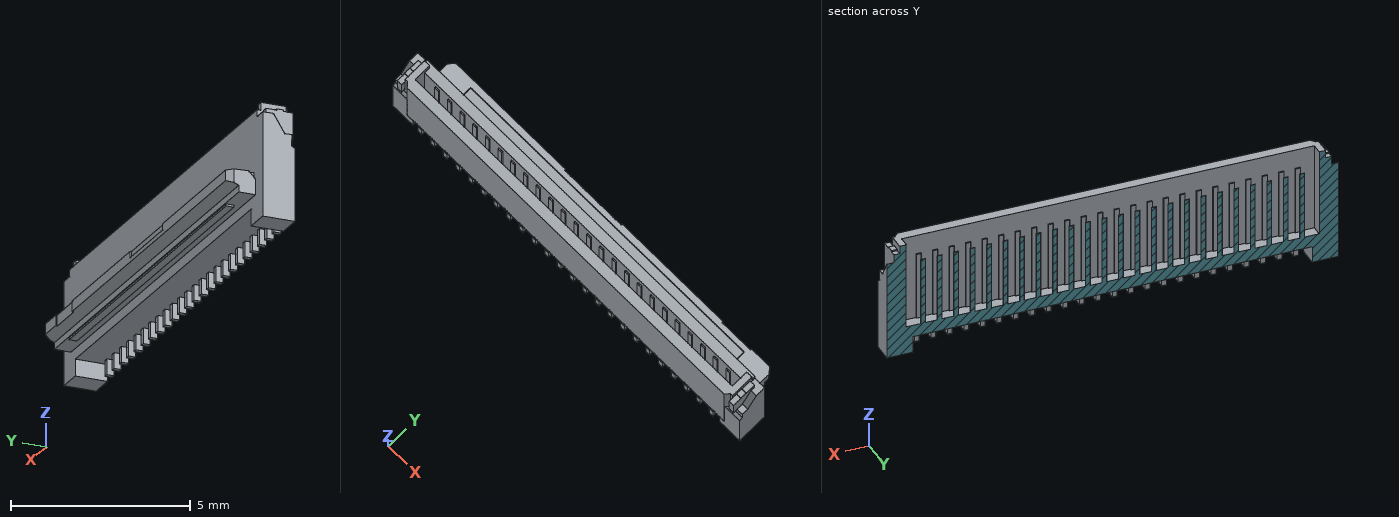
import cadquery as cq


TOTAL_LENGTH = 13.7
TOTAL_DEPTH = 1.87
TOTAL_HEIGHT = 3.6
HALF_LENGTH = TOTAL_LENGTH / 2

BODY_FRONT_Y = 0.03
BODY_BACK_Y = 1.02
BACK_WALL_TOP_Z = 3.36
BODY_BOTTOM_Z = 0.51
LEG_WIDTH = 0.8
UPPER_HALF_LENGTH = 6.465
UPPER_FRONT_Y = 0.135
PANEL_HALF_LENGTH = 6.26
PANEL_BOTTOM_Z = 0.66
CORNER_CHAMFER = 0.12
END_RIB_BACK_Y = 0.9

SLOT_FRONT_Y = 0.33
SLOT_BACK_Y = 0.70
SLOT_FLOOR_Z = 0.9

SHOULDER_TOP_Z = 3.15
SHOULDER_SLOPE_BACK_Y = 0.69
SHOULDER_SLOPE_FRONT_Y = 0.35
SHOULDER_LEDGE_Z = 2.60
FRONT_STEP_TOP_Z = 2.27
FRONT_STEP_BOTTOM_Z = 2.20

TAB_OUTER_X = 6.64
TAB_BACK_Y = 0.83
TAB_TOP_Z = 3.36
TAB_BOTTOM_Z = 2.56
TAB_BUMP_HEIGHT = 0.04
TAB_BUMP_FRONT_Y = 0.29
TAB_BUMP_BACK_Y = 0.50

CONTACT_COUNT = 24
CONTACT_PITCH = 0.5
CONTACT_WIDTH = 0.15
CONTACT_FOOT_BOTTOM_Z = 0.035
CONTACT_FOOT_TOP_Z = 0.54
CONTACT_FOOT_FRONT_Y = 0.0
CONTACT_FOOT_BACK_Y = 0.22
CONTACT_BEAM_PROUD = 0.04
CONTACT_BEAM_TOP_Z = 3.0

BAR_HALF_LENGTH = 6.35
BAR_TOP_Z = 1.53
BAR_TIP_TOP_Z = 1.49
BAR_TIP_BOTTOM_Z = 1.17
BAR_HEEL_Y = 1.53
BAR_HEEL_TOP_Z = 1.03
BAR_BOTTOM_Z = 0.83
BAR_CHAMFER_X = 0.15
BAR_CHAMFER_Y = 0.19
BAR_PAD_FRONT_Y = 1.26
BAR_PAD_BACK_Y = 1.50
BAR_PAD_DROP = 0.06
BAR_POCKET_HALF_LENGTH = 5.4
BAR_POCKET_FRONT_Y = 1.29
BAR_POCKET_BACK_Y = 1.66
BAR_POCKET_DEPTH = 0.1
BAR_POCKET_FRONT_TAPER = 0.04
BAR_GROOVE_HALF_LENGTH = 6.07
BAR_GROOVE_BACK_Y = 1.20
BAR_GROOVE_FLOOR_BACK_Y = 1.06
BAR_GROOVE_DEPTH = 0.09
BAR_END_NOTCH_WIDTH = 0.1
BAR_END_NOTCH_BACK_Y = 1.24
BAR_END_NOTCH_DEPTH = 0.22
BAR_RELIEF_LEFT_X = 4.36
BAR_RELIEF_RIGHT_X = 5.48
BAR_RELIEF_DEPTH = 0.04
BAR_WINDOW_LEFT_X = -1.86
BAR_WINDOW_RIGHT_X = 0.37
BAR_WINDOW_BOTTOM_Z = 1.30


def box(x_min, x_max, y_min, y_max, z_min, z_max):
    """Axis-aligned box between two opposite corners."""
    size = (x_max - x_min, y_max - y_min, z_max - z_min)
    return cq.Workplane("XY").box(*size, centered=False).translate((x_min, y_min, z_min))


def extrude_side_profile(points, x_min, x_max):
    """Extrude an outline of (y, z) points along X."""
    return cq.Workplane("YZ", origin=(x_min, 0, 0)).polyline(points).close().extrude(x_max - x_min)


def mirrored_pair(solid):
    """The solid joined with its mirror image at the opposite end of the connector."""
    return solid.union(solid.mirror("YZ"))


def make_upper_housing():
    outline = [
        (-UPPER_HALF_LENGTH, END_RIB_BACK_Y),
        (-UPPER_HALF_LENGTH, UPPER_FRONT_Y),
        (-PANEL_HALF_LENGTH - CORNER_CHAMFER, UPPER_FRONT_Y),
        (-PANEL_HALF_LENGTH, 0),
        (PANEL_HALF_LENGTH, 0),
        (PANEL_HALF_LENGTH + CORNER_CHAMFER, UPPER_FRONT_Y),
        (UPPER_HALF_LENGTH, UPPER_FRONT_Y),
        (UPPER_HALF_LENGTH, END_RIB_BACK_Y),
    ]
    upper = (
        cq.Workplane("XY", origin=(0, 0, FRONT_STEP_BOTTOM_Z))
        .polyline(outline).close().extrude(TOTAL_HEIGHT - FRONT_STEP_BOTTOM_Z)
    )
    back_wall = box(
        -UPPER_HALF_LENGTH, UPPER_HALF_LENGTH, SLOT_BACK_Y, BODY_BACK_Y, BODY_BOTTOM_Z, BACK_WALL_TOP_Z
    )
    above_back_wall = box(
        -PANEL_HALF_LENGTH, PANEL_HALF_LENGTH, SLOT_BACK_Y, BODY_BACK_Y, BACK_WALL_TOP_Z, TOTAL_HEIGHT
    )
    return upper.union(back_wall).cut(above_back_wall)


def make_lower_housing():
    core = box(
        -UPPER_HALF_LENGTH, UPPER_HALF_LENGTH, BODY_FRONT_Y, BODY_BACK_Y, BODY_BOTTOM_Z, FRONT_STEP_BOTTOM_Z
    )
    panel = box(
        -PANEL_HALF_LENGTH, PANEL_HALF_LENGTH, 0, SLOT_FRONT_Y, PANEL_BOTTOM_Z, FRONT_STEP_BOTTOM_Z
    )
    return core.union(panel)


def make_end_block():
    """Left leg with the sloped shoulder above it."""
    profile = [
        (BODY_FRONT_Y, BODY_BOTTOM_Z),
        (BODY_FRONT_Y, FRONT_STEP_BOTTOM_Z),
        (UPPER_FRONT_Y, FRONT_STEP_TOP_Z),
        (UPPER_FRONT_Y, SHOULDER_LEDGE_Z),
        (SHOULDER_SLOPE_FRONT_Y, SHOULDER_LEDGE_Z),
        (SHOULDER_SLOPE_BACK_Y, SHOULDER_TOP_Z),
        (BODY_BACK_Y, SHOULDER_TOP_Z),
        (BODY_BACK_Y, BODY_BOTTOM_Z),
    ]
    shoulder = extrude_side_profile(profile, -HALF_LENGTH, -PANEL_HALF_LENGTH)
    leg = box(
        -HALF_LENGTH, -HALF_LENGTH + LEG_WIDTH, BODY_FRONT_Y, BODY_BACK_Y, 0, PANEL_BOTTOM_Z
    )
    return shoulder.union(leg)


def make_side_tab():
    plate = box(-TAB_OUTER_X, -UPPER_HALF_LENGTH, 0, TAB_BACK_Y, TAB_BOTTOM_Z, TAB_TOP_Z)
    bump = box(
        -TAB_OUTER_X, -UPPER_HALF_LENGTH, TAB_BUMP_FRONT_Y, TAB_BUMP_BACK_Y,
        TAB_TOP_Z, TAB_TOP_Z + TAB_BUMP_HEIGHT,
    )
    return plate.union(bump)


def make_bar_body():
    """Locking bar with the pad under it; its top falls gently toward the tip."""
    profile = [
        (BODY_BACK_Y, BAR_BOTTOM_Z),
        (BODY_BACK_Y, BAR_TOP_Z),
        (TOTAL_DEPTH, BAR_TIP_TOP_Z),
        (TOTAL_DEPTH, BAR_TIP_BOTTOM_Z),
        (BAR_HEEL_Y, BAR_HEEL_TOP_Z),
        (BAR_HEEL_Y, BAR_BOTTOM_Z),
    ]
    bar = extrude_side_profile(profile, -BAR_HALF_LENGTH, BAR_HALF_LENGTH)
    pad = box(
        -BAR_POCKET_HALF_LENGTH, BAR_POCKET_HALF_LENGTH, BAR_PAD_FRONT_Y, BAR_PAD_BACK_Y,
        BAR_BOTTOM_Z - BAR_PAD_DROP, BAR_BOTTOM_Z,
    )
    return bar.union(pad)


def make_bar_pocket():
    """Long pocket in the top of the bar; its front wall leans outward."""
    floor_z = BAR_TOP_Z - BAR_POCKET_DEPTH
    profile = [
        (BAR_POCKET_FRONT_Y, BAR_TOP_Z),
        (BAR_POCKET_FRONT_Y + BAR_POCKET_FRONT_TAPER, floor_z),
        (BAR_POCKET_BACK_Y, floor_z),
        (BAR_POCKET_BACK_Y, BAR_TOP_Z),
    ]
    return extrude_side_profile(profile, -BAR_POCKET_HALF_LENGTH, BAR_POCKET_HALF_LENGTH)


def make_bar_groove():
    """Groove between the bar and the housing, sloping down toward the housing."""
    floor_z = BAR_TOP_Z - BAR_GROOVE_DEPTH
    profile = [
        (BODY_BACK_Y, BAR_TOP_Z),
        (BAR_GROOVE_BACK_Y, BAR_TOP_Z),
        (BAR_GROOVE_FLOOR_BACK_Y, floor_z),
        (BODY_BACK_Y, floor_z),
    ]
    return extrude_side_profile(profile, -BAR_GROOVE_HALF_LENGTH, BAR_GROOVE_HALF_LENGTH)


def make_bar_end_cuts():
    """Chamfered corner and small sloped notch at each end of the bar."""
    corner = (
        cq.Workplane("XY")
        .polyline([
            (-BAR_HALF_LENGTH, TOTAL_DEPTH),
            (-BAR_HALF_LENGTH + BAR_CHAMFER_X, TOTAL_DEPTH),
            (-BAR_HALF_LENGTH, TOTAL_DEPTH - BAR_CHAMFER_Y),
        ])
        .close().extrude(BAR_TOP_Z)
    )
    notch_profile = [
        (BODY_BACK_Y, BAR_TOP_Z),
        (BAR_END_NOTCH_BACK_Y, BAR_TOP_Z),
        (BODY_BACK_Y, BAR_TOP_Z - BAR_END_NOTCH_DEPTH),
    ]
    notch = extrude_side_profile(
        notch_profile, -BAR_HALF_LENGTH, -BAR_HALF_LENGTH + BAR_END_NOTCH_WIDTH
    )
    return mirrored_pair(corner.union(notch))


def make_bar_back_reliefs():
    """Two shallow recesses in the bar's back face, one full height and one open only at the top."""
    front_y = TOTAL_DEPTH - BAR_RELIEF_DEPTH
    relief = box(BAR_RELIEF_LEFT_X, BAR_RELIEF_RIGHT_X, front_y, TOTAL_DEPTH, BAR_BOTTOM_Z, BAR_TOP_Z)
    window = box(BAR_WINDOW_LEFT_X, BAR_WINDOW_RIGHT_X, front_y, TOTAL_DEPTH, BAR_WINDOW_BOTTOM_Z, BAR_TOP_Z)
    return relief.union(window)


def make_locking_bar():
    bar = make_bar_body().cut(make_bar_pocket()).cut(make_bar_groove())
    return bar.cut(make_bar_end_cuts()).cut(make_bar_back_reliefs())


def make_slot():
    return box(
        -PANEL_HALF_LENGTH, PANEL_HALF_LENGTH, SLOT_FRONT_Y, SLOT_BACK_Y, SLOT_FLOOR_Z, TOTAL_HEIGHT
    )


def add_contacts(body):
    first_x = -CONTACT_PITCH * (CONTACT_COUNT - 1) / 2
    for index in range(CONTACT_COUNT):
        left = first_x + index * CONTACT_PITCH - CONTACT_WIDTH / 2
        right = left + CONTACT_WIDTH
        foot = box(
            left, right, CONTACT_FOOT_FRONT_Y, CONTACT_FOOT_BACK_Y, CONTACT_FOOT_BOTTOM_Z, CONTACT_FOOT_TOP_Z
        )
        front_beam = box(
            left, right, SLOT_FRONT_Y, SLOT_FRONT_Y + CONTACT_BEAM_PROUD, SLOT_FLOOR_Z, CONTACT_BEAM_TOP_Z
        )
        back_beam = box(
            left, right, SLOT_BACK_Y - CONTACT_BEAM_PROUD, SLOT_BACK_Y, SLOT_FLOOR_Z, CONTACT_BEAM_TOP_Z
        )
        body = body.union(foot).union(front_beam).union(back_beam)
    return body


housing = make_upper_housing().union(make_lower_housing())
housing = housing.union(mirrored_pair(make_end_block()))
housing = housing.cut(make_slot())
housing = housing.union(mirrored_pair(make_side_tab()))
housing = housing.union(make_locking_bar())
result = add_contacts(housing)